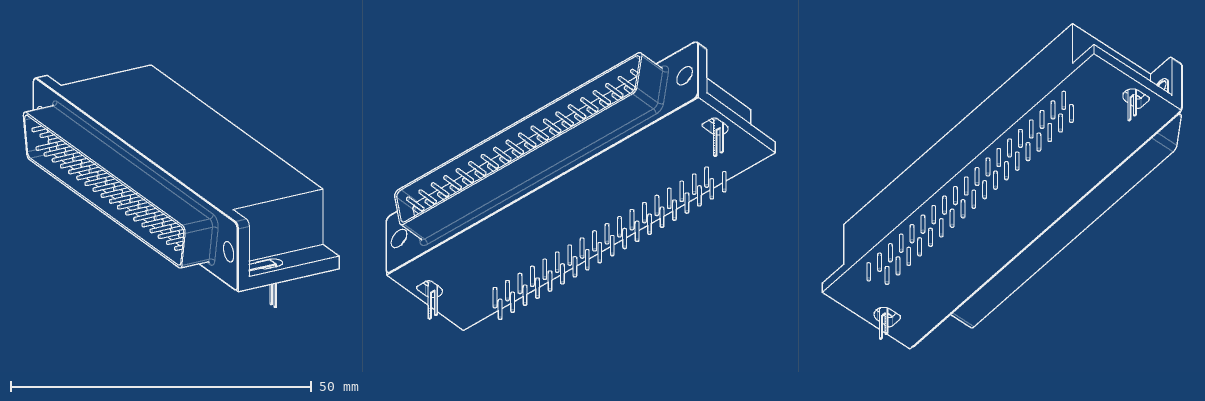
import cadquery as cq
import math


width = 69.4
height = 12.4
depth = 19.4
flange_thickness = 2.3
ledge_height = 2.35
block_width = 58.45
plate_thickness = 0.2
plate_inset = 0.1
flange_corner_radius = 1.0
mid_height = height / 2

mount_spacing = 63.5
mount_hole_diameter = 3.5
mount_positions = (-mount_spacing / 2, mount_spacing / 2)

shell_length = 5.9
shell_height = 8.2
shell_top_width = 55.4
shell_corner_radius = 1.0
shell_wall = 0.4
shell_flare_radius = 0.7
insulator_height = 1.8
shell_slant = math.radians(10)

contact_diameter = 0.64
contact_row_spacing = 2.85
upper_contacts = 19
lower_contacts = upper_contacts - 1
upper_row_length = 49.8
contact_pitch = upper_row_length / (upper_contacts - 1)
contact_length = 5.6
contact_tip_radius = 0.2
tail_length = 4.0
tail_back_offset = 1.8
contact_embed = 0.7

bracket_thickness = 0.2
bracket_pad_diameter = 4.0
bracket_hole_diameter = 3.2
bracket_strip_width = 1.95
bracket_reach = 8.6
leg_length = 5.5
leg_gap = 0.8
leg_tip_radius = 0.2
bend_outer_radius = 0.3
bend_inner_radius = bend_outer_radius - bracket_thickness

slot_front = 5.75
slot_back = 10.05
slot_corner_radius = 0.7
slot_width = 3.2


def box(x_size, y_min, y_max, z_min, z_max, x_center=0.0):
    """Box centred on x_center, between the given Y and Z limits."""
    return cq.Workplane("XY").box(x_size, y_max - y_min, z_max - z_min, centered=(True, False, False)).translate(
        (x_center, y_min, z_min)
    )


def cylinder_along_y(diameter, y_min, y_max, x, z):
    return cq.Workplane("XZ", origin=(x, y_max, z)).circle(diameter / 2).extrude(y_max - y_min)


def make_housing():
    ledge = box(width, flange_thickness, depth, 0, ledge_height)
    block = box(block_width, flange_thickness, depth, 0, height)
    flange = box(width, plate_thickness, flange_thickness, 0, height)
    flange = flange.edges("|Y and >Z").fillet(flange_corner_radius)
    plate = box(width - 2 * plate_inset, 0, plate_thickness, plate_inset, height - plate_inset)
    plate = plate.edges("|Y").fillet(flange_corner_radius)
    return ledge.union(block).union(flange).union(plate)


def d_prism(inset, y_front, y_back):
    """D-shaped prism whose outline lies inside the shell outline by inset."""
    half_height = shell_height / 2 - inset
    mid_half_width = shell_top_width / 2 - shell_height / 2 * math.tan(shell_slant)
    mid_half_width -= inset / math.cos(shell_slant)
    half_top = mid_half_width + half_height * math.tan(shell_slant)
    half_bottom = mid_half_width - half_height * math.tan(shell_slant)
    outline = [
        (-half_top, half_height),
        (half_top, half_height),
        (half_bottom, -half_height),
        (-half_bottom, -half_height),
    ]
    prism = cq.Workplane("XZ", origin=(0, y_back, mid_height)).polyline(outline).close().extrude(y_back - y_front)
    return prism.edges("|Y").fillet(shell_corner_radius)


def add_shell(body):
    body = body.union(d_prism(0, -shell_length, plate_thickness))
    root_half_height = shell_height / 2 + shell_flare_radius
    root_edges = cq.selectors.BoxSelector(
        (-shell_top_width / 2, -plate_thickness / 2, mid_height - root_half_height),
        (shell_top_width / 2, plate_thickness / 2, mid_height + root_half_height),
    )
    body = body.edges(root_edges).fillet(shell_flare_radius)
    return body.cut(d_prism(shell_wall, -shell_length, -insulator_height))


def make_contact_row(count, z, tail_y):
    """Mating pins of one row and the solder tails below them."""
    row = cq.Workplane("XY")
    for index in range(count):
        x = (index - (count - 1) / 2) * contact_pitch
        pin = cylinder_along_y(contact_diameter, -contact_length, contact_embed, x, z)
        row = row.add(pin.faces("<Y").edges().fillet(contact_tip_radius))
        tail = cq.Workplane("XY", origin=(x, tail_y, -tail_length)).circle(contact_diameter / 2)
        tail = tail.extrude(tail_length + contact_embed)
        row = row.add(tail.faces("<Z").edges().fillet(contact_tip_radius))
    return row


def make_slot(x):
    """Slot with a full-round back end and small radii at its front corners."""
    slot = box(slot_width, slot_front, slot_back - slot_width / 2, 0, ledge_height, x)
    slot = slot.faces("<Y").edges("|Z").fillet(slot_corner_radius)
    round_end = cq.Workplane("XY").center(x, slot_back - slot_width / 2).circle(slot_width / 2)
    return slot.union(round_end.extrude(ledge_height))


def make_bracket(x):
    """Pad behind the flange, strip along the ledge and forked leg through the slot."""
    pad_back = flange_thickness + bracket_thickness
    strip_top = ledge_height + bracket_thickness
    pad = box(bracket_pad_diameter, flange_thickness, pad_back, ledge_height, mid_height, x)
    pad = pad.union(cylinder_along_y(bracket_pad_diameter, flange_thickness, pad_back, x, mid_height))
    leg_front = bracket_reach - bracket_thickness
    strip = box(bracket_strip_width, flange_thickness, bracket_reach, -leg_length, strip_top, x)
    strip = strip.cut(box(bracket_strip_width, flange_thickness, leg_front, -leg_length, ledge_height, x))
    outer_bend = cq.selectors.NearestToPointSelector((x, bracket_reach, strip_top))
    strip = strip.edges(outer_bend).fillet(bend_outer_radius)
    inner_bend = cq.selectors.NearestToPointSelector((x, leg_front, ledge_height))
    strip = strip.edges(inner_bend).fillet(bend_inner_radius)
    strip = strip.cut(box(leg_gap, leg_front, bracket_reach, -leg_length, 0, x))
    strip = strip.edges("|Y and <Z").fillet(leg_tip_radius)
    return pad.union(strip)


result = add_shell(make_housing())

upper_tail_y = depth - tail_back_offset
result = result.union(
    make_contact_row(upper_contacts, mid_height + contact_row_spacing / 2, upper_tail_y)
)
result = result.union(
    make_contact_row(lower_contacts, mid_height - contact_row_spacing / 2, upper_tail_y - contact_row_spacing)
)

for mount_x in mount_positions:
    result = result.cut(make_slot(mount_x))
    result = result.union(make_bracket(mount_x))
    bracket_back = flange_thickness + bracket_thickness
    result = result.cut(cylinder_along_y(mount_hole_diameter, 0, flange_thickness, mount_x, mid_height))
    result = result.cut(
        cylinder_along_y(bracket_hole_diameter, flange_thickness, bracket_back, mount_x, mid_height)
    )